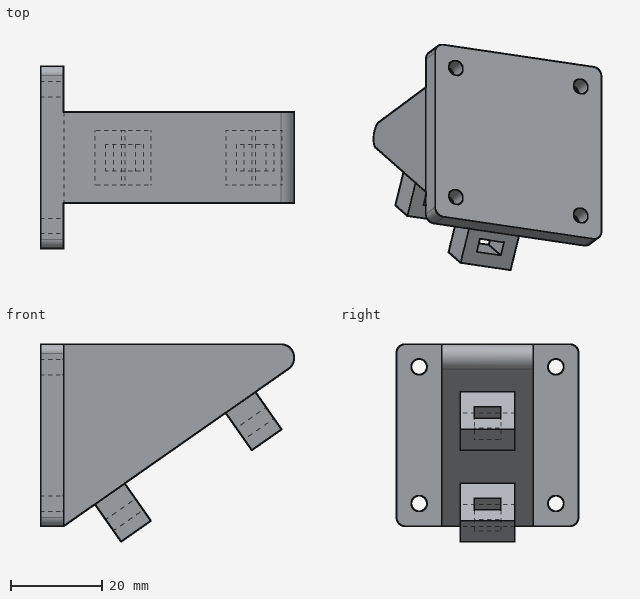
import cadquery as cq
import math

plate_side = 40.0
plate_thickness = 5.0
plate_corner_radius = 2.0
hole_diameter = 3.4
hole_spacing = 30.0

overall_length = 55.6
arm_width = 20.0
tip_radius = 3.0

tab_starts = (8.4, 43.4)
tab_length = 8.0
tab_width = 12.0
tab_height = 10.0

slot_width = 5.8
slot_height = 3.0
slot_floor_depth = 7.0

tip_x = overall_length - tip_radius
tip_z = plate_side - tip_radius
foot_to_tip_x = tip_x - plate_thickness
foot_to_tip = math.hypot(foot_to_tip_x, tip_z)
slope = math.atan2(tip_z, foot_to_tip_x) - math.asin(tip_radius / foot_to_tip)


def make_plate():
    plate = (
        cq.Workplane("YZ")
        .center(0, plate_side / 2)
        .rect(plate_side, plate_side)
        .extrude(plate_thickness)
        .edges("|X")
        .fillet(plate_corner_radius)
    )
    holes = (
        cq.Workplane("YZ")
        .center(0, plate_side / 2)
        .rect(hole_spacing, hole_spacing, forConstruction=True)
        .vertices()
        .circle(hole_diameter / 2)
        .extrude(plate_thickness)
    )
    return plate.cut(holes)


def make_arm():
    tangent_x = tip_x + tip_radius * math.sin(slope)
    tangent_z = tip_z - tip_radius * math.cos(slope)
    return (
        cq.Workplane("XZ")
        .moveTo(plate_thickness, 0)
        .lineTo(plate_thickness, plate_side)
        .lineTo(tip_x, plate_side)
        .threePointArc((overall_length, tip_z), (tangent_x, tangent_z))
        .close()
        .extrude(arm_width / 2, both=True)
    )


def make_tab(start):
    centre_x = plate_thickness + start + tab_length / 2
    block = cq.Workplane("XY").box(tab_length, tab_width, tab_height)
    block = block.translate((centre_x, 0, -tab_height / 2))
    slot = cq.Workplane("XY").box(tab_length, slot_width, slot_height)
    slot = slot.translate((centre_x, 0, slot_height / 2 - slot_floor_depth))
    foot = (plate_thickness, 0, 0)
    foot_axis_end = (plate_thickness, -1, 0)
    return block.cut(slot).rotate(foot, foot_axis_end, math.degrees(slope))


result = make_plate().union(make_arm())
for tab_start in tab_starts:
    result = result.union(make_tab(tab_start))